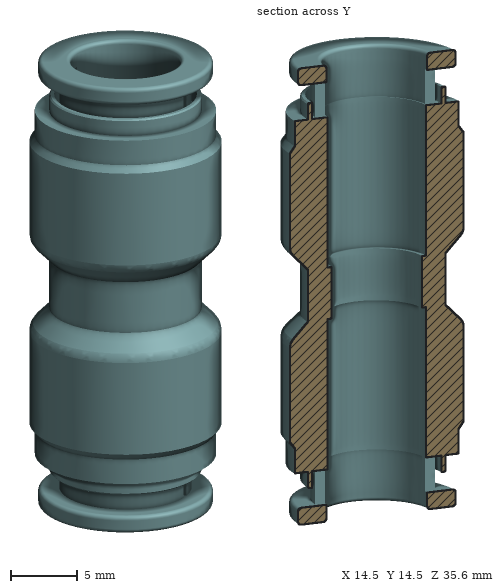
import cadquery as cq


half_length = 17.8
collar_bottom = 16.45
ring_top = 15.02
cap_top = 13.75
body_top = 11.8
waist_half_height = 2.03

body_radius = 14.5 / 2
cap_radius = 13.67 / 2
collar_radius = 6.6
ring_radius = 11.5 / 2
waist_radius = ring_radius
neck_radius = 5.0

collar_fillet = 0.32
mouth_fillet = 0.303
ring_chamfer = 0.1
rim_bevel_height = 0.55
shoulder_fillet = 0.93

collet_bore_radius = 4.15
socket_radius = 4.05
stop_radius = 3.75

ring_bore_radius = 5.38

slot_width = 0.5
slot_bottom = cap_top


def cylinder(radius, bottom, top):
    return cq.Workplane("XY").workplane(offset=bottom).circle(radius).extrude(top - bottom)


def tube(outer_radius, inner_radius, bottom, top):
    return cylinder(outer_radius, bottom, top).cut(cylinder(inner_radius, bottom, top))


def both_ends(upper):
    return upper.union(upper.mirror("XY"))


def waisted_body():
    shoulder_top = waist_half_height + body_radius - waist_radius
    upper_outline = [
        (waist_radius, waist_half_height),
        (body_radius, shoulder_top),
        (body_radius, body_top - rim_bevel_height),
        (cap_radius, body_top),
        (0, body_top),
    ]
    lower_outline = [(radius, -height) for radius, height in reversed(upper_outline)]
    profile = cq.Workplane("XZ").polyline(lower_outline + upper_outline).close()
    body = profile.revolve(360, (0, 0, 0), (0, 1, 0))
    for height in (shoulder_top, -shoulder_top):
        shoulder_edge = cq.selectors.BoxSelector(
            (-body_radius, -body_radius, height - shoulder_fillet / 2),
            (body_radius, body_radius, height + shoulder_fillet / 2),
        )
        body = body.edges("%CIRCLE").edges(shoulder_edge).fillet(shoulder_fillet)
    return body


def collet_slot():
    slot = cq.Workplane("XY").workplane(offset=slot_bottom)
    slot = slot.rect(2 * neck_radius, slot_width).extrude(collar_bottom - slot_bottom)
    return slot.intersect(cylinder(neck_radius, slot_bottom, collar_bottom))


def collet():
    neck = tube(neck_radius, collet_bore_radius, cap_top, collar_bottom)
    collar = tube(collar_radius, collet_bore_radius, collar_bottom, half_length)
    outer_edges = cq.selectors.RadiusNthSelector(1)
    mouth_edge = cq.selectors.RadiusNthSelector(0)
    collar = collar.edges(outer_edges).fillet(collar_fillet)
    collar = collar.faces(">Z").edges(mouth_edge).fillet(mouth_fillet)
    return neck.union(collar).cut(collet_slot())


def upper_end():
    cap = tube(cap_radius, socket_radius, body_top, cap_top)
    ring = cylinder(ring_radius, cap_top, ring_top).faces(">Z").chamfer(ring_chamfer)
    ring = ring.cut(cylinder(ring_bore_radius, cap_top, ring_top))
    return cap.union(ring).union(collet())


socket = cylinder(socket_radius, waist_half_height, body_top)
stop_bore = cylinder(stop_radius, -body_top, body_top)
body = waisted_body().cut(stop_bore).cut(both_ends(socket))

result = body.union(both_ends(upper_end()))